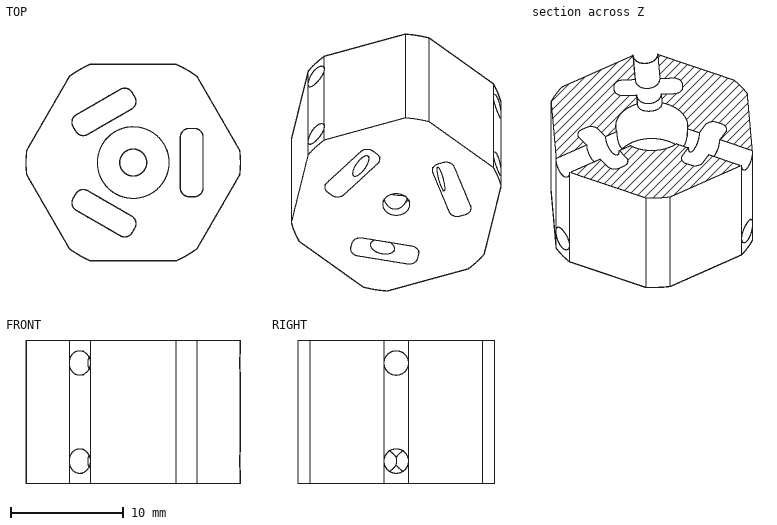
import cadquery as cq
import math

height = 12.7
across_flats = 17.46
corner_circle_diameter = 19.04

wide_bore_diameter = 6.35
wide_bore_depth = height / 2
narrow_bore_diameter = 2.38

screw_directions = (0, 120, 240)
slot_inner_offset = 4.19
slot_thickness = 2.0
slot_length = 6.04
slot_corner_radius = 0.76
screw_hole_diameter = 2.17
screw_end_distance = 2.0


def make_body():
    """Hexagonal prism with corners on +X and -X, rounded by a cylinder."""
    across_corners = across_flats / math.cos(math.radians(30))
    hexagon = cq.Workplane("XY").polygon(6, across_corners).extrude(height)
    cylinder = cq.Workplane("XY").circle(corner_circle_diameter / 2).extrude(height)
    return hexagon.intersect(cylinder)


def make_bore():
    """Narrow through hole with a wide bore from the top."""
    narrow = cq.Workplane("XY").circle(narrow_bore_diameter / 2).extrude(height)
    wide = (
        cq.Workplane("XY", origin=(0, 0, height))
        .circle(wide_bore_diameter / 2)
        .extrude(-wide_bore_depth)
    )
    return narrow.union(wide)


def make_nut_slot():
    """Full-height slot across the +X direction."""
    return (
        cq.Workplane("XY")
        .center(slot_inner_offset + slot_thickness / 2, 0)
        .rect(slot_thickness, slot_length)
        .extrude(height)
        .edges("|Z")
        .fillet(slot_corner_radius)
    )


def make_screw_hole(z):
    """Radial hole from the axis out through the +X corner."""
    return (
        cq.Workplane("YZ", origin=(0, 0, z))
        .circle(screw_hole_diameter / 2)
        .extrude(corner_circle_diameter)
    )


result = make_body().cut(make_bore())
for direction in screw_directions:
    cutters = [make_nut_slot()]
    for z in (screw_end_distance, height - screw_end_distance):
        cutters.append(make_screw_hole(z))
    for cutter in cutters:
        result = result.cut(cutter.rotate((0, 0, 0), (0, 0, 1), direction))